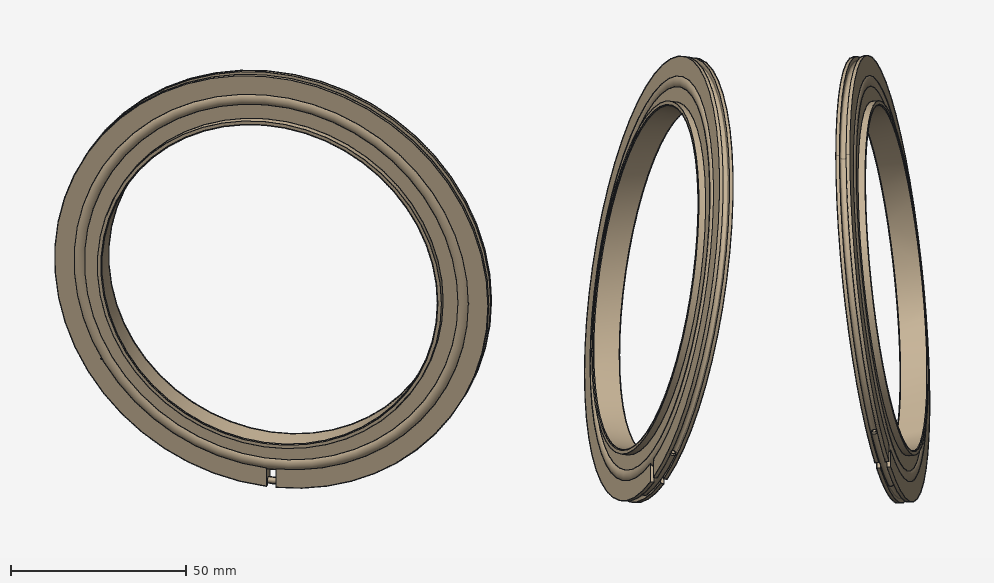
import cadquery as cq


BORE_RADIUS = 49.5
SLEEVE_RADIUS = 50.8
SLEEVE_WIDTH = 8.0
FLANGE_WIDTH = 4.1
BORE_CHAMFER = 0.3

SEAL_CENTER_RADIUS = 56.7
SEAL_SECTION_RADIUS = 2.5

OUTER_RADIUS = 64
OUTER_WIDTH = FLANGE_WIDTH
SLOT_WIDTH = 2.8

WIRE_RADIUS = 0.96
WIRE_CENTER_RADIUS = 62.8
WIRE_HALF_ANGLE = 12.5
WIRE_END_CHAMFER = 0.4

CUT_CLEARANCE = 1.3


def ring(inner_radius, outer_radius, width):
    """Plain ring about the Y axis, centred on Y = 0."""
    return (
        cq.Workplane("XZ")
        .circle(outer_radius)
        .circle(inner_radius)
        .extrude(width / 2, both=True)
    )


def round_section_ring(center_radius, section_radius):
    """Torus about the Y axis."""
    return (
        cq.Workplane("XY")
        .center(center_radius, 0)
        .circle(section_radius)
        .revolve(360, (-center_radius, 0), (-center_radius, 1))
    )


def make_seal():
    return round_section_ring(SEAL_CENTER_RADIUS, SEAL_SECTION_RADIUS)


def make_inner_ring():
    sleeve = ring(BORE_RADIUS, SLEEVE_RADIUS, SLEEVE_WIDTH)
    bore_edges = cq.selectors.RadiusNthSelector(0)
    sleeve = sleeve.edges(bore_edges).chamfer(BORE_CHAMFER)
    flange = ring(SLEEVE_RADIUS, SEAL_CENTER_RADIUS, FLANGE_WIDTH)
    return sleeve.union(flange).cut(make_seal())


def make_outer_ring():
    body = ring(SEAL_CENTER_RADIUS, OUTER_RADIUS, OUTER_WIDTH).cut(make_seal())

    groove_floor = round_section_ring(WIRE_CENTER_RADIUS, WIRE_RADIUS)
    groove_sides = ring(WIRE_CENTER_RADIUS, OUTER_RADIUS + CUT_CLEARANCE, 2 * WIRE_RADIUS)
    body = body.cut(groove_floor).cut(groove_sides)

    slot_depth = OUTER_RADIUS + CUT_CLEARANCE
    slot = cq.Workplane("XY").box(SLOT_WIDTH, OUTER_WIDTH, slot_depth).translate((0, 0, -slot_depth / 2))
    return body.cut(slot)


def make_wire_clip():
    return (
        cq.Workplane("XY")
        .center(WIRE_CENTER_RADIUS, 0)
        .circle(WIRE_RADIUS)
        .revolve(2 * WIRE_HALF_ANGLE, (-WIRE_CENTER_RADIUS, 0), (-WIRE_CENTER_RADIUS, 1))
        .rotate((0, 0, 0), (0, 1, 0), 90 - WIRE_HALF_ANGLE)
        .faces("%PLANE")
        .chamfer(WIRE_END_CHAMFER)
    )


inner_ring = make_inner_ring()
seal = make_seal()
outer_ring = make_outer_ring()
wire_clip = make_wire_clip()

result = cq.Compound.makeCompound([inner_ring.val(), seal.val(), outer_ring.val(), wire_clip.val()])